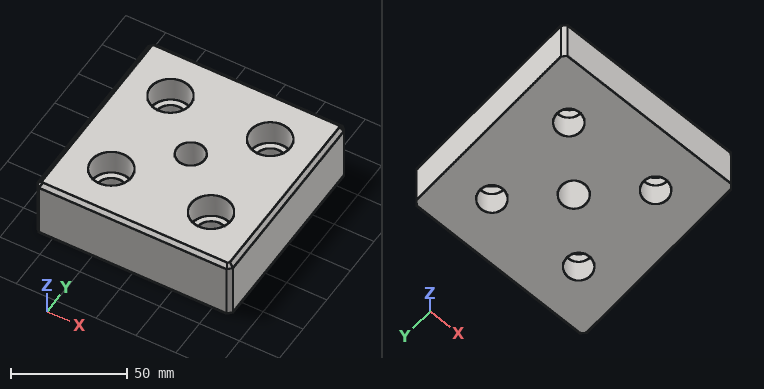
import cadquery as cq

side = 98.0
height = 30.0
edge_chamfer = 2.0

bolt_spacing = 50.0
bolt_diameter = 13.5
counterbore_diameter = 20.0
counterbore_depth = 13.0
center_diameter = 13.8

block = cq.Workplane("XY").box(side, side, height, centered=(True, True, False))
block = block.edges("|Z").chamfer(edge_chamfer)
block = block.faces(">Z").edges().chamfer(edge_chamfer)

block = (
    block.faces(">Z").workplane(origin=(0, 0, height))
    .rect(bolt_spacing, bolt_spacing, forConstruction=True)
    .vertices()
    .cboreHole(bolt_diameter, counterbore_diameter, counterbore_depth)
)

result = block.faces(">Z").workplane(origin=(0, 0, height)).hole(center_diameter)